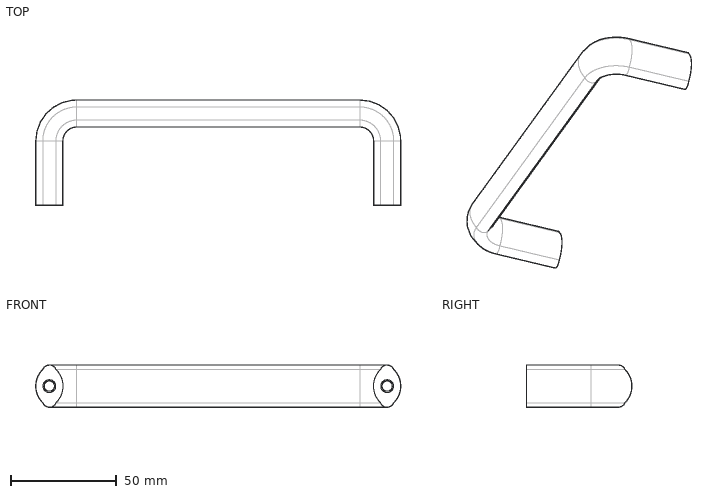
import cadquery as cq
import math

length = 173.0
depth = 50.0
height = 20.0

bar_width = 13.0
joint_x = 3.1
joint_y = 8.0
bend_radius = 13.0

hole_diameter = 4.8
hole_depth = 15.0
mouth_diameter = 6.0
drill_tip_angle = 118.0

half_width = bar_width / 2
half_height = height / 2
leg_x = length / 2 - half_width
foot_y = -depth / 2
grip_y = depth / 2 - half_width


def oval_section(plane):
    """Closed oval outline, with its tall direction along the plane's local Y."""
    return (
        cq.Workplane(plane)
        .moveTo(joint_x, -joint_y)
        .threePointArc((half_width, 0), (joint_x, joint_y))
        .threePointArc((0, half_height), (-joint_x, joint_y))
        .threePointArc((-half_width, 0), (-joint_x, -joint_y))
        .threePointArc((0, -half_height), (joint_x, -joint_y))
        .close()
    )


def make_bar():
    """Sweep the oval up one leg, along the grip and down the other leg."""
    bend_x = leg_x - bend_radius
    bend_y = grip_y - bend_radius
    bend_mid = bend_radius * math.sqrt(0.5)
    path = (
        cq.Workplane("XY")
        .moveTo(-leg_x, foot_y)
        .lineTo(-leg_x, bend_y)
        .threePointArc((-bend_x - bend_mid, bend_y + bend_mid), (-bend_x, grip_y))
        .lineTo(bend_x, grip_y)
        .threePointArc((bend_x + bend_mid, bend_y + bend_mid), (leg_x, bend_y))
        .lineTo(leg_x, foot_y)
    )
    foot_plane = cq.Plane(origin=(-leg_x, foot_y, 0), xDir=(1, 0, 0), normal=(0, -1, 0))
    return oval_section(foot_plane).sweep(path)


def mounting_hole(x):
    """Countersunk hole with a conical bottom, running from a foot into its leg."""
    hole_radius = hole_diameter / 2
    mouth_radius = mouth_diameter / 2
    mouth_depth = mouth_radius - hole_radius
    tip_depth = hole_radius / math.tan(math.radians(drill_tip_angle / 2))
    return (
        cq.Workplane("XY")
        .moveTo(0, 0)
        .lineTo(mouth_radius, 0)
        .lineTo(hole_radius, mouth_depth)
        .lineTo(hole_radius, hole_depth)
        .lineTo(0, hole_depth + tip_depth)
        .close()
        .revolve(360, (0, 0, 0), (0, 1, 0))
        .translate((x, foot_y, 0))
    )


result = make_bar()
for hole_x in (-leg_x, leg_x):
    result = result.cut(mounting_hole(hole_x))